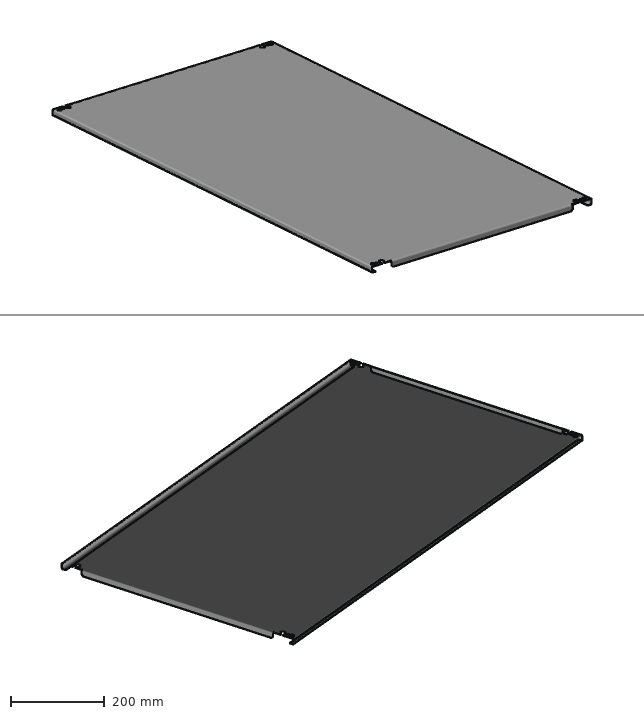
import cadquery as cq

length = 1099.0
width = 600.0
height = 15.0
sheet = 2.0
bend_radius = 4.0

long_edge_inset = 2.0
long_edge_length = length - 2 * long_edge_inset
lip_depth = 11.0

end_flange_length = 495.0
end_flange_chamfer = 4.0
flange_bend_start = length / 2 - bend_radius

cut_from_end = 12.0
hole_diameter = 10.0
hole_from_side = 12.0
small_hole_diameter = 4.0
small_hole_from_side = 22.0
relief_diameter = 12.0
relief_from_side = 35.0
relief_slot_width = 7.0
relief_slot_from_side = 32.0


def make_channel():
    """Top panel with a C-shaped fold along both long edges."""
    outer = (
        cq.Workplane("XY")
        .box(long_edge_length, width, height, centered=(True, True, False))
        .edges("|X")
        .fillet(bend_radius)
    )
    inner = (
        cq.Workplane("XY")
        .workplane(offset=sheet)
        .box(long_edge_length, width - 2 * sheet, height - 2 * sheet, centered=(True, True, False))
        .edges("|X")
        .fillet(bend_radius - sheet)
    )
    opening = cq.Workplane("XY").box(
        long_edge_length, width - 2 * lip_depth, height - sheet, centered=(True, True, False)
    )
    return outer.cut(inner).cut(opening)


def make_end_flange(side):
    """Flange bent down from one short end; side is -1 or +1."""
    end = side * length / 2
    inside = end - side * sheet
    bend = side * flange_bend_start
    bend_height = height - bend_radius
    middle = 0.5 ** 0.5
    inner_radius = bend_radius - sheet
    return (
        cq.Workplane("XZ")
        .moveTo(bend, height)
        .threePointArc(
            (bend + side * bend_radius * middle, bend_height + bend_radius * middle),
            (end, bend_height),
        )
        .lineTo(end, 0)
        .lineTo(inside, 0)
        .lineTo(inside, bend_height)
        .threePointArc(
            (bend + side * inner_radius * middle, bend_height + inner_radius * middle),
            (bend, height - sheet),
        )
        .close()
        .extrude(end_flange_length / 2, both=True)
    )


def make_end_clearance(side):
    """Space taken out of the flat panel where the end bend replaces it."""
    return cq.Workplane("XY").box(
        2 * bend_radius, end_flange_length, 2 * height
    ).translate((side * length / 2, 0, height))


def make_corner_cut(side_x, side_y):
    """Two round holes and an edge-opening relief in one corner of the panel."""
    x = side_x * (length / 2 - cut_from_end)
    base = cq.Workplane("XY").workplane(offset=height - 2 * sheet)
    slot_y = side_y * (width / 2 - relief_slot_from_side)
    tool = (
        base.center(x + side_x * cut_from_end / 2, slot_y)
        .rect(cut_from_end, relief_slot_width)
        .extrude(height)
    )
    round_cuts = (
        (hole_diameter, hole_from_side),
        (small_hole_diameter, small_hole_from_side),
        (relief_diameter, relief_from_side),
    )
    for diameter, from_side in round_cuts:
        y = side_y * (width / 2 - from_side)
        tool = tool.union(base.center(x, y).circle(diameter / 2).extrude(height))
    return tool


def make_flange_trim(side_y):
    """Wedge that chamfers the lower corner of both end flanges."""
    corner = end_flange_length / 2
    return (
        cq.Workplane("YZ")
        .moveTo(side_y * corner, 0)
        .lineTo(side_y * (corner - end_flange_chamfer), 0)
        .lineTo(side_y * corner, end_flange_chamfer)
        .close()
        .extrude(length / 2, both=True)
    )


result = make_channel()
for side_x in (-1, 1):
    result = result.cut(make_end_clearance(side_x)).union(make_end_flange(side_x))
    for side_y in (-1, 1):
        result = result.cut(make_corner_cut(side_x, side_y))

for side_y in (-1, 1):
    result = result.cut(make_flange_trim(side_y))